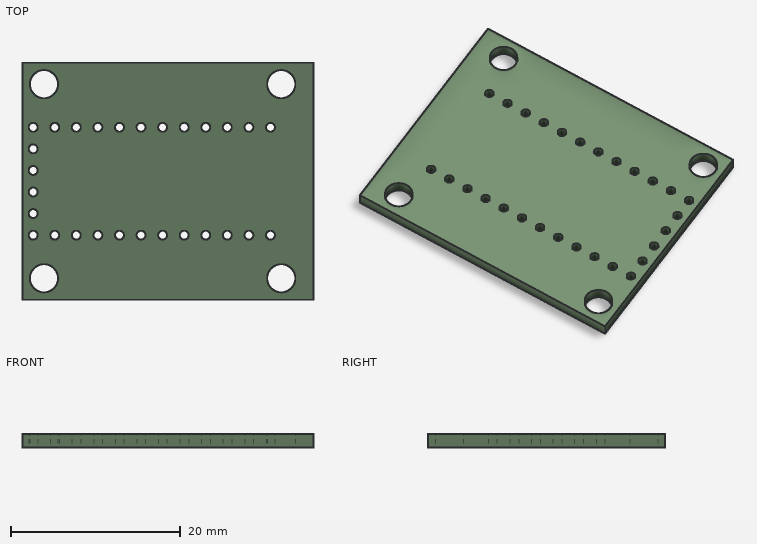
import cadquery as cq

board_length = 34.3
board_thickness = 1.6
pitch = board_length / 13.5
board_width = 11 * pitch

pin_diameter = 1.03
mount_diameter = 3.3
pins_per_row = 12
pins_per_column = 6

left_edge = -board_length / 2
right_edge = board_length / 2

pin_left = left_edge + pitch / 2
row_offset = (pins_per_column - 1) * pitch / 2
row_points = [
    (pin_left + i * pitch, y)
    for y in (-row_offset, row_offset)
    for i in range(pins_per_row)
]
column_points = [
    (pin_left, -row_offset + i * pitch)
    for i in range(1, pins_per_column - 1)
]

mount_offset_y = board_width / 2 - pitch
mount_points = [
    (x, y)
    for x in (left_edge + pitch, right_edge - 1.5 * pitch)
    for y in (-mount_offset_y, mount_offset_y)
]


def drill(body, points, diameter):
    """Drill through holes at the given points, measured from the board centre."""
    return body.faces(">Z").workplane(origin=(0, 0, 0)).pushPoints(points).hole(diameter)


board = cq.Workplane("XY").box(board_length, board_width, board_thickness)
board = drill(board, row_points + column_points, pin_diameter)
result = drill(board, mount_points, mount_diameter)